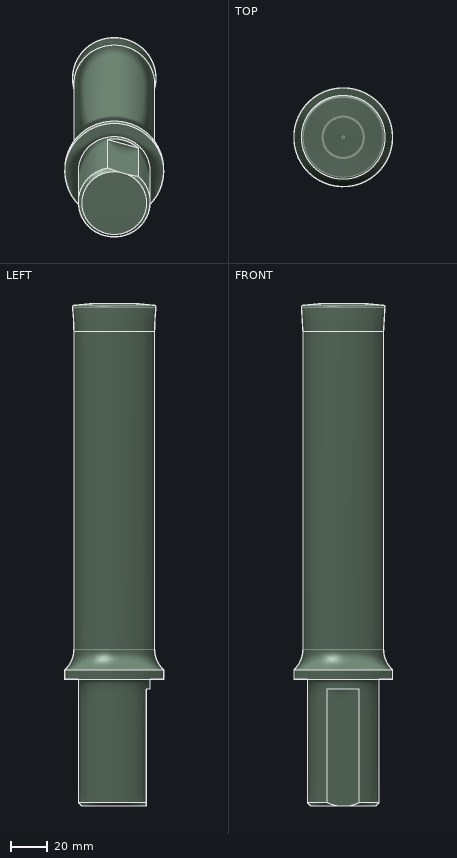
import cadquery as cq

total_length = 279.0
flange_bottom = 70.3
flange_thickness = 5.3
flange_top = flange_bottom + flange_thickness
neck_top = 87.0
head_bottom = 263.5

shank_diameter = 40.0
flange_diameter = 55.0
body_diameter = 45.0
head_diameter = 46.5
ring_outer_diameter = 23.5
ring_inner_diameter = 22.3
center_diameter = 1.5

shank_chamfer = 2.0
flat_depth = 2.1
flat_top = 65.0

rim_radius = 1.0
rim_height = 278.0
dish_height = 278.5


def make_holder():
    """Shank, flange with concave neck, and long cylindrical body."""
    shank_radius = shank_diameter / 2
    body_radius = body_diameter / 2
    flange_radius = flange_diameter / 2
    neck_rise = neck_top - flange_top
    neck_run = flange_radius - body_radius
    neck_radius = (neck_rise**2 + neck_run**2) / (2 * neck_run)
    middle_height = neck_top - neck_rise / 2
    middle_offset = neck_radius - (neck_radius**2 - (neck_rise / 2) ** 2) ** 0.5

    turned = (
        cq.Workplane("XZ")
        .lineTo(shank_radius - shank_chamfer, 0)
        .lineTo(shank_radius, shank_chamfer)
        .lineTo(shank_radius, flange_bottom)
        .lineTo(flange_radius, flange_bottom)
        .lineTo(flange_radius, flange_top)
        .threePointArc((body_radius + middle_offset, middle_height), (body_radius, neck_top))
        .lineTo(body_radius, head_bottom)
        .lineTo(0, head_bottom)
        .close()
        .revolve(360, (0, 0, 0), (0, 1, 0))
    )
    flat_cutter = cq.Workplane("XY").box(
        shank_diameter, flat_depth, flat_top, centered=(True, False, False)
    ).translate((0, -shank_radius, 0))
    return turned.cut(flat_cutter)


def make_cutting_head():
    """Tapered cutting head with a rounded rim and a shallow crowned and dished end face."""
    head = (
        cq.Workplane("XZ")
        .moveTo(0, head_bottom)
        .lineTo(body_diameter / 2, head_bottom)
        .lineTo(head_diameter / 2, rim_height)
        .lineTo(ring_outer_diameter / 2, total_length)
        .lineTo(ring_inner_diameter / 2, total_length)
        .lineTo(center_diameter / 2, dish_height)
        .lineTo(0, dish_height)
        .close()
        .revolve(360, (0, 0, 0), (0, 1, 0))
    )
    rim_edge = cq.selectors.RadiusNthSelector(-1)
    return head.edges(rim_edge).fillet(rim_radius)


holder = make_holder()
cutting_head = make_cutting_head()

result = cq.Compound.makeCompound([holder.val(), cutting_head.val()])